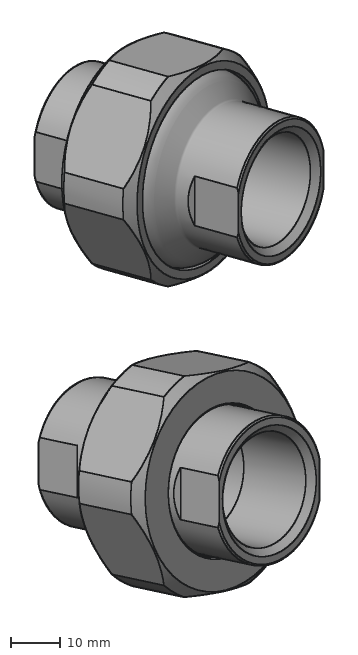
import cadquery as cq
import math

total_length = 51.5

tube_radius = 31.0 / 2
bore_radius = 24.1 / 2
mouth_chamfer = 1.5
rim_chamfer = 0.35
flat_offset = 14.5
flat_length = 11.0
flat_depth = tube_radius - flat_offset

nut_start = 13.0
nut_length = 19.0
nut_end = nut_start + nut_length
across_flats = 46.0
corner_radius = 49.65 / 2
nut_chamfer = 2.05
nut_wall = 3.1
neck_radius = 31.5 / 2
neck_chamfer = 0.3

joint_radius = 41.8 / 2
flange_thickness = 3.1
flange_start = nut_start + nut_wall
joint_face = flange_start + flange_thickness

cone_angle = math.radians(50)
shoulder_arc = 5.35
root_fillet = 0.7
root_end = 36.75


def revolve_about_x(profile):
    """Revolve an XY profile, with Y as the radius, about the X axis."""
    return profile.close().revolve(360, (0, 0, 0), (1, 0, 0))


def cylinder_x(start, length, radius):
    return cq.Workplane("YZ", origin=(start, 0, 0)).circle(radius).extrude(length)


def arc_point(center, radius, angle):
    """Point on an arc, with the angle measured from the radial direction towards +X."""
    return (center[0] + radius * math.sin(angle), center[1] + radius * math.cos(angle))


def flat_cutters():
    """Two wedges that cut wrench flats at the x = 0 end, with 45 degree run-outs."""
    reach = 2 * flat_depth
    wedge = (
        cq.Workplane("XY", origin=(0, 0, -tube_radius))
        .moveTo(0, flat_offset)
        .lineTo(flat_length, flat_offset)
        .lineTo(flat_length + reach, flat_offset + reach)
        .lineTo(0, flat_offset + reach)
        .close()
        .extrude(2 * tube_radius)
    )
    return wedge.union(wedge.mirror("XZ"))


def mouth_cutter():
    """Cone that chamfers the bore at the x = 0 end."""
    return revolve_about_x(
        cq.Workplane("XY")
        .lineTo(0, bore_radius + mouth_chamfer)
        .lineTo(mouth_chamfer, bore_radius)
        .lineTo(mouth_chamfer, 0)
    )


def to_far_end(cutter):
    """Mirror a cutter from the x = 0 end to the opposite end."""
    return cutter.mirror("YZ").translate((total_length, 0, 0))


def make_tail():
    tube = cylinder_x(0, joint_face, tube_radius).faces("<X").chamfer(rim_chamfer)
    flange = cylinder_x(flange_start, flange_thickness, joint_radius)
    bore = cylinder_x(0, joint_face, bore_radius)
    return tube.union(flange).cut(bore).cut(mouth_cutter()).cut(flat_cutters())


def make_end_piece():
    root_center = (root_end, tube_radius + root_fillet)
    cone_end = arc_point(root_center, -root_fillet, cone_angle)
    root_middle = arc_point(root_center, -root_fillet, cone_angle / 2)

    cone_start_radius = joint_radius - shoulder_arc * (1 - math.cos(cone_angle))
    cone_start_x = cone_end[0] - (cone_start_radius - cone_end[1]) / math.tan(cone_angle)
    arc_start_x = cone_start_x - shoulder_arc * math.sin(cone_angle)
    shoulder_center = (arc_start_x, joint_radius - shoulder_arc)
    shoulder_middle = arc_point(shoulder_center, shoulder_arc, cone_angle / 2)

    body = revolve_about_x(
        cq.Workplane("XY")
        .moveTo(joint_face, bore_radius)
        .lineTo(joint_face, joint_radius)
        .lineTo(arc_start_x, joint_radius)
        .threePointArc(shoulder_middle, (cone_start_x, cone_start_radius))
        .lineTo(*cone_end)
        .threePointArc(root_middle, (root_end, tube_radius))
        .lineTo(total_length - rim_chamfer, tube_radius)
        .lineTo(total_length, tube_radius - rim_chamfer)
        .lineTo(total_length, bore_radius)
    )
    return body.cut(to_far_end(mouth_cutter())).cut(to_far_end(flat_cutters()))


def make_nut():
    across_corners = across_flats / math.cos(math.radians(30))
    hexagon = (
        cq.Workplane("YZ", origin=(nut_start, 0, 0))
        .polygon(6, across_corners)
        .extrude(nut_length)
    )
    turned = cylinder_x(nut_start, nut_length, corner_radius).faces("<X or >X").chamfer(nut_chamfer)
    neck = cylinder_x(nut_start, nut_wall, neck_radius)
    neck_mouth = revolve_about_x(
        cq.Workplane("XY")
        .moveTo(nut_start, 0)
        .lineTo(nut_start, neck_radius + neck_chamfer)
        .lineTo(nut_start + neck_chamfer, neck_radius)
        .lineTo(nut_start + neck_chamfer, 0)
    )
    cavity = cylinder_x(flange_start, nut_end - flange_start, joint_radius)
    return hexagon.intersect(turned).cut(neck).cut(neck_mouth).cut(cavity)


tail = make_tail()
end_piece = make_end_piece()
nut = make_nut()

bodies = [tail, end_piece, nut]
result = cq.Compound.makeCompound([body.solids().val() for body in bodies])